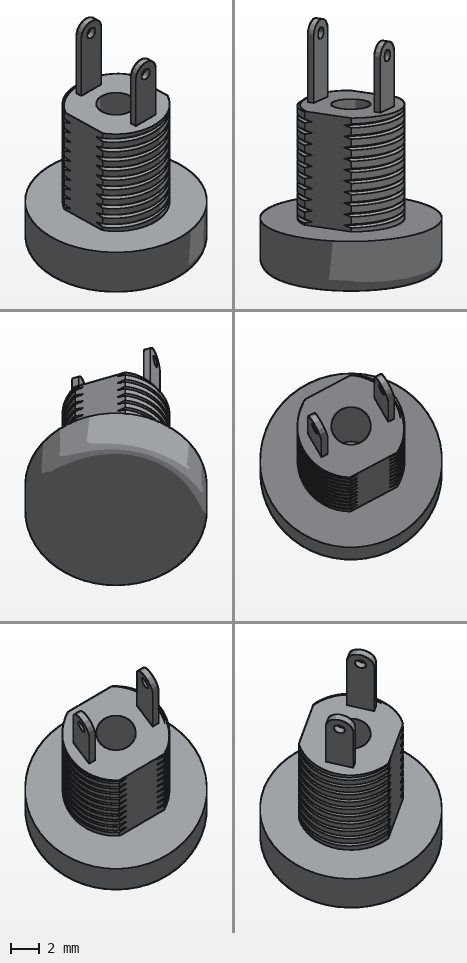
import cadquery as cq
import math

flange_diameter = 12.65
flange_height = 3.81
flange_rim_radius = 1.0

shank_diameter = 7.48
shank_height = 8.19
width_across_flats = 6.48
bore_diameter = 2.75
bore_depth = shank_height

thread_pitch = 0.8
thread_depth = 0.25
thread_opening = 0.28
thread_start_angle = 180

tall_tab_top = 17.8
short_tab_top = 16.87
tab_width = 2.0
tab_thickness = 0.5
tab_offset = 2.65
tab_hole_diameter = 0.8

cut_clearance = 0.04

shank_radius = shank_diameter / 2
shank_top = flange_height + shank_height


def make_flange():
    disc = cq.Workplane("XY").circle(flange_diameter / 2).extrude(flange_height)
    return disc.faces("<Z").edges().fillet(flange_rim_radius)


def make_groove(start_angle, turns):
    """Stretch of the V groove that begins at start_angle, in degrees, and climbs from there."""
    flank_slope = thread_opening / 2 / thread_depth
    outer_half_height = flank_slope * (thread_depth + cut_clearance)
    root_radius = shank_radius - thread_depth
    outer_radius = shank_radius + cut_clearance
    helix = cq.Wire.makeHelix(thread_pitch, turns * thread_pitch, shank_radius)
    groove = (
        cq.Workplane("XZ")
        .polyline([
            (root_radius, 0),
            (outer_radius, outer_half_height),
            (outer_radius, -outer_half_height),
        ])
        .close()
        .sweep(cq.Workplane(obj=helix), isFrenet=True)
    )
    start_height = flange_height + thread_opening / 2
    climb = (start_angle - thread_start_angle) / 360 * thread_pitch
    return groove.rotate((0, 0, 0), (0, 0, 1), start_angle).translate((0, 0, start_height + climb))


def make_shank():
    base = cq.Workplane("XY", origin=(0, 0, flange_height))
    cylinder = base.circle(shank_radius).extrude(shank_height)
    slab = base.rect(shank_diameter, width_across_flats).extrude(shank_height)
    shank = cylinder.intersect(slab)

    shank = shank.cut(make_groove(thread_start_angle, 0.25))
    flat_angle = thread_start_angle + 90
    half_turns = math.floor(2 * shank_height / thread_pitch)
    for index in range(half_turns):
        shank = shank.cut(make_groove(flat_angle + 180 * index, 0.5))
    return shank


def make_tab(x_center, top):
    """Upright plate standing on the shank, with its wire hole centred on the round top."""
    arc_radius = tab_width / 2
    arc_center_height = top - arc_radius
    side = cq.Workplane("YZ", origin=(x_center - tab_thickness / 2, 0, 0))
    plate = (
        side.moveTo(-arc_radius, shank_top)
        .lineTo(-arc_radius, arc_center_height)
        .threePointArc((0, top), (arc_radius, arc_center_height))
        .lineTo(arc_radius, shank_top)
        .close()
        .extrude(tab_thickness)
    )
    hole = side.center(0, arc_center_height).circle(tab_hole_diameter / 2).extrude(tab_thickness)
    return plate.cut(hole)


bore = (
    cq.Workplane("XY", origin=(0, 0, shank_top))
    .circle(bore_diameter / 2)
    .extrude(-bore_depth)
)

body = make_flange().union(make_shank()).cut(bore)
result = body.union(make_tab(-tab_offset, tall_tab_top)).union(make_tab(tab_offset, short_tab_top))